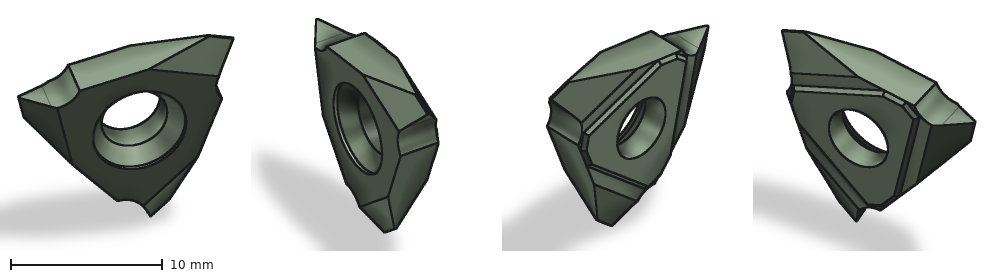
import cadquery as cq
import math

TOOTH_COUNT = 3
TOOTH_PITCH = 360 / TOOTH_COUNT
FIRST_TOOTH_ANGLE = -12.0

thickness = 3.18
pad_height = 0.28
ridge_start = 1.64
ridge_width = 0.15
ridge_end = ridge_start + ridge_width

nose_radius = 7.04
nose_corner_q = 4.84
back_angle = 28.0
back_radius = 4.76
flank_angle = 19.6
flank_length = 1.92
gullet_end_p = 3.15

seat_bevel_angle = 30.0
far_bevel_angle = 33.0

pad_radius = 3.72
pad_corner_radius = 5.47

bore_radius = 2.25
bore_length = 1.85
mouth_radius = 3.18
cone_length = 1.05


def place(p, q, tooth=0):
    """Point (p, q) of a tooth in the sketch plane, whose axes are -Y and Z."""
    angle = math.radians(FIRST_TOOTH_ANGLE + tooth * TOOTH_PITCH)
    return (
        p * math.cos(angle) - q * math.sin(angle),
        p * math.sin(angle) + q * math.cos(angle),
    )


def sketch_plane(x):
    """Plane at height x along the axis: local x is -Y, local y is Z, normal is -X."""
    return cq.Workplane(cq.Plane(origin=(x, 0, 0), xDir=(0, -1, 0), normal=(-1, 0, 0)))


def triangle_wire(inradius, turn, x):
    """Triangle at height x with its first side facing the direction turn in a tooth frame."""
    half_side = inradius * math.tan(math.radians(TOOTH_PITCH / 2))
    swing = math.radians(turn)
    p = inradius * math.cos(swing) - half_side * math.sin(swing)
    q = inradius * math.sin(swing) + half_side * math.cos(swing)
    corners = [place(p, q, tooth) for tooth in range(TOOTH_COUNT)]
    return sketch_plane(x).polyline(corners).close().val()


def triangle_stack(sections, turn=0.0):
    """Straight-sided solid through triangles given as (x, inradius)."""
    wires = [triangle_wire(inradius, turn, x) for x, inradius in sections]
    return cq.Workplane(cq.Solid.makeLoft(wires, True))


def outline_prism():
    """Three-tooth outline through the thickness of the main plate."""
    back = math.radians(back_angle)
    flank = math.radians(flank_angle)
    nose_back_q = (nose_radius * math.cos(back) - back_radius) / math.sin(back)
    flank_end_p = nose_radius - flank_length * math.cos(flank)
    flank_end_q = nose_corner_q - flank_length * math.sin(flank)
    next_back = math.radians(TOOTH_PITCH - back_angle)
    gullet_end_q = (back_radius - gullet_end_p * math.cos(next_back)) / math.sin(next_back)

    sketch = sketch_plane(thickness).moveTo(*place(gullet_end_p, gullet_end_q, -1))
    for tooth in range(TOOTH_COUNT):
        sketch = (
            sketch.lineTo(*place(nose_radius, nose_back_q, tooth))
            .lineTo(*place(nose_radius, nose_corner_q, tooth))
            .lineTo(*place(flank_end_p, flank_end_q, tooth))
            .tangentArcPoint(place(gullet_end_p, gullet_end_q, tooth), relative=False)
        )
    return sketch.close().extrude(thickness - pad_height)


def tooth_bevels():
    """Envelope whose sloping sides bevel every tooth down to its ridge."""
    seat_drop = (ridge_start - pad_height) / math.tan(math.radians(seat_bevel_angle))
    far_drop = (thickness - ridge_end) / math.tan(math.radians(far_bevel_angle))
    return triangle_stack([
        (pad_height, nose_radius - seat_drop),
        (ridge_start, nose_radius),
        (ridge_end, nose_radius),
        (thickness, nose_radius - far_drop),
    ])


def pad():
    """Raised seat with cut corners and a 45 degree slope all round."""
    def sloped_triangle(inradius, turn):
        return triangle_stack([(0, inradius - pad_height), (pad_height, inradius)], turn)

    sides = sloped_triangle(pad_radius, 0)
    corners = sloped_triangle(pad_corner_radius, TOOTH_PITCH / 2)
    backs = sloped_triangle(back_radius, -back_angle)
    return sides.intersect(corners).intersect(backs)


def bore():
    """Through bore that opens by a cone into a wider mouth."""
    cone_end = bore_length + cone_length
    return (
        cq.Workplane("XY")
        .polyline([
            (0, 0),
            (0, bore_radius),
            (bore_length, bore_radius),
            (cone_end, mouth_radius),
            (thickness, mouth_radius),
            (thickness, 0),
        ])
        .close()
        .revolve(360, (0, 0, 0), (1, 0, 0))
    )


plate = outline_prism().intersect(tooth_bevels())
result = plate.union(pad()).cut(bore())